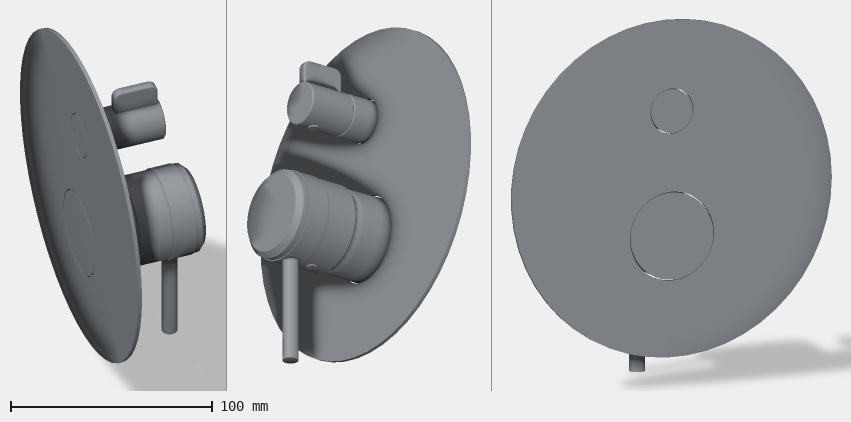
import cadquery as cq


PLATE_RADIUS = 85.0
PLATE_THICKNESS = 2.0

DIVERTER_Z = 39.0
DIVERTER_RADIUS = 11.0
DIVERTER_LENGTH = 42.0
DIVERTER_CLEARANCE = 0.5
KNOB_START = 16.3
KNOB_CHAMFER = 0.5

TAB_WIDTH = 5.0
TAB_START = 17.7
TAB_END = 40.7
TAB_REACH = 23.0
TAB_CORNER_RADIUS = 4.0
TAB_EDGE_FILLET = 1.0
TAB_ROOT_FILLET = 0.4
SEAM_DROP = 0.5

MIXER_Z = -24.0
MIXER_LENGTH = 59.6
MIXER_RADIUS = 22.7
MIXER_END_CHAMFER = 2.8
MIXER_CLEARANCE = 0.55
COLLAR_RADIUS = 23.2
COLLAR_START = 41.9
COLLAR_END = 53.5
SLEEVE_START = 24.6
NECK_FRONT_RADIUS = 21.9
NECK_RADIUS = 21.65
NECK_BULGE = 0.05
NECK_BAND_START = 17.3
NECK_BAND_END = 18.9
NECK_TOP_RADIUS = 20.3
NECK_SHOULDER_BULGE = 0.3

STEM_RADIUS = 4.0
STEM_BOTTOM_Z = -100.25

PIP_RADIUS = 2.7
PIP_HEIGHT = 0.6
MIXER_PIP_Y = 34.6
DIVERTER_PIP_Y = 33.5


def cylinder_along_y(radius, start, end, z):
    """Solid cylinder on the axis X = 0 at height z, from Y = start to Y = end."""
    return cq.Workplane("XZ", origin=(0, start, z)).circle(radius).extrude(start - end)


def make_pip(y, axis_z, body_radius):
    """Short vertical cylinder from a valve axis to just below its underside."""
    length = body_radius + PIP_HEIGHT
    return cq.Workplane("XY", origin=(0, y, axis_z - length)).circle(PIP_RADIUS).extrude(length)


def make_plate():
    plate = cylinder_along_y(PLATE_RADIUS, 0, PLATE_THICKNESS, 0)
    diverter_hole = DIVERTER_RADIUS + DIVERTER_CLEARANCE
    mixer_hole = NECK_FRONT_RADIUS + MIXER_CLEARANCE
    plate = plate.cut(cylinder_along_y(diverter_hole, 0, PLATE_THICKNESS, DIVERTER_Z))
    return plate.cut(cylinder_along_y(mixer_hole, 0, PLATE_THICKNESS, MIXER_Z))


def make_lever_tab():
    length = TAB_END - TAB_START
    tab = (
        cq.Workplane("XY", origin=(0, (TAB_START + TAB_END) / 2, DIVERTER_Z))
        .box(TAB_WIDTH, length, TAB_REACH, centered=(True, True, False))
    )
    tab = tab.edges("|X and >Z").fillet(TAB_CORNER_RADIUS)
    tab = tab.faces("<X or >X").edges("not <Z").fillet(TAB_EDGE_FILLET)
    return tab


def make_knob_groove():
    """V-shaped ring cutter marking where the knob meets its base."""
    return (
        cq.Workplane("XY", origin=(0, KNOB_START, DIVERTER_Z))
        .moveTo(DIVERTER_RADIUS - KNOB_CHAMFER, 0)
        .lineTo(DIVERTER_RADIUS + KNOB_CHAMFER, 2 * KNOB_CHAMFER)
        .lineTo(DIVERTER_RADIUS + KNOB_CHAMFER, -2 * KNOB_CHAMFER)
        .close()
        .revolve(360, (0, 0, 0), (0, 1, 0))
    )


def make_diverter():
    body = cylinder_along_y(DIVERTER_RADIUS, 0, DIVERTER_LENGTH, DIVERTER_Z)
    body = body.faces(">Y").edges().chamfer(KNOB_CHAMFER)
    body = body.cut(make_knob_groove())
    body = body.union(make_lever_tab())

    seam_top = DIVERTER_Z + DIVERTER_RADIUS
    seam_box = cq.selectors.BoxSelector(
        (-TAB_WIDTH, TAB_START - TAB_ROOT_FILLET / 2, seam_top - SEAM_DROP),
        (TAB_WIDTH, TAB_END + TAB_ROOT_FILLET / 2, seam_top + TAB_ROOT_FILLET),
    )
    body = body.edges(seam_box).fillet(TAB_ROOT_FILLET)
    return body.union(make_pip(DIVERTER_PIP_Y, DIVERTER_Z, DIVERTER_RADIUS))


def make_mixer():
    neck_mid = ((NECK_FRONT_RADIUS + NECK_RADIUS) / 2 + NECK_BULGE, NECK_BAND_START / 2)
    shoulder_mid = ((NECK_RADIUS + NECK_TOP_RADIUS) / 2 + NECK_SHOULDER_BULGE,
                    (NECK_BAND_END + SLEEVE_START) / 2)
    profile = (
        cq.Workplane("XY", origin=(0, 0, MIXER_Z))
        .lineTo(NECK_FRONT_RADIUS, 0)
        .threePointArc(neck_mid, (NECK_RADIUS, NECK_BAND_START))
        .lineTo(NECK_RADIUS, NECK_BAND_END)
        .threePointArc(shoulder_mid, (NECK_TOP_RADIUS, SLEEVE_START))
        .lineTo(MIXER_RADIUS, SLEEVE_START)
        .lineTo(MIXER_RADIUS, COLLAR_START)
        .lineTo(COLLAR_RADIUS, COLLAR_START)
        .lineTo(COLLAR_RADIUS, COLLAR_END)
        .lineTo(MIXER_RADIUS, COLLAR_END)
        .lineTo(MIXER_RADIUS, MIXER_LENGTH - MIXER_END_CHAMFER)
        .lineTo(MIXER_RADIUS - MIXER_END_CHAMFER, MIXER_LENGTH)
        .lineTo(0, MIXER_LENGTH)
        .close()
    )
    body = profile.revolve(360, (0, 0, 0), (0, 1, 0))

    stem_y = (COLLAR_START + COLLAR_END) / 2
    stem = (
        cq.Workplane("XY", origin=(0, stem_y, STEM_BOTTOM_Z))
        .circle(STEM_RADIUS)
        .extrude(MIXER_Z - STEM_BOTTOM_Z)
    )
    return body.union(stem).union(make_pip(MIXER_PIP_Y, MIXER_Z, MIXER_RADIUS))


plate = make_plate()
diverter = make_diverter()
mixer = make_mixer()

result = cq.Compound.makeCompound([plate.val(), diverter.val(), mixer.val()])